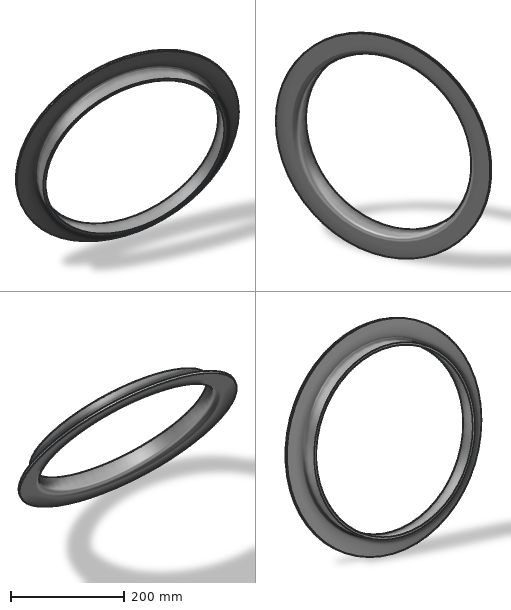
import cadquery as cq

flange_diameter = 430.0
tube_outer_diameter = 355.6
wall = 5.0
length = 35.0
outer_bend_radius = 5.0
inner_bend_radius = outer_bend_radius + wall

flange_radius = flange_diameter / 2
tube_outer_radius = tube_outer_diameter / 2
tube_inner_radius = tube_outer_radius - wall


def make_collar():
    """Sheet of constant wall, bent from a tube into a flat flange."""
    bend_end_x = wall + outer_bend_radius
    profile = (
        cq.Workplane("XY")
        .moveTo(0, flange_radius)
        .lineTo(wall, flange_radius)
        .lineTo(wall, tube_outer_radius + outer_bend_radius)
        .radiusArc((bend_end_x, tube_outer_radius), -outer_bend_radius)
        .lineTo(length, tube_outer_radius)
        .lineTo(length, tube_inner_radius)
        .lineTo(bend_end_x, tube_inner_radius)
        .radiusArc((0, tube_inner_radius + inner_bend_radius), inner_bend_radius)
        .close()
    )
    return profile.revolve(360, (0, 0, 0), (1, 0, 0))


result = make_collar()